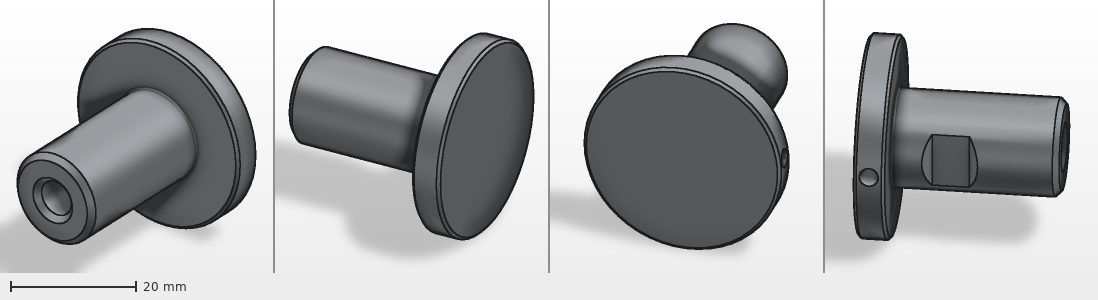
import cadquery as cq
import math

total_length = 32.0
flange_diameter = 33.0
flange_thickness = 5.0
flange_chamfer = 0.5
shank_diameter = 16.0
shank_chamfer = 1.0
root_fillet = 0.4

bore_diameter = 6.0
bore_floor_thickness = 3.07
countersink_diameter = 8.0
bore_point_angle = 136.0

rim_hole_diameter = 3.05
rim_hole_point_angle = 120.0
rim_hole_tilt = 6.0

flat_depth = 1.5
flat_length = 6.0
flat_center_from_back = 14.52

flange_radius = flange_diameter / 2
shank_radius = shank_diameter / 2
flange_front = total_length - flange_thickness


def drill(radius, depth, point_angle):
    """Drill-shaped solid running from the origin along +Y; depth excludes the point."""
    point_length = radius / math.tan(math.radians(point_angle / 2))
    return (
        cq.Workplane("XY")
        .lineTo(radius, 0)
        .lineTo(radius, depth)
        .lineTo(0, depth + point_length)
        .close()
        .revolve(360, (0, 0, 0), (0, 1, 0))
    )


def turned_body():
    root_arc_middle = root_fillet * (1 - math.sqrt(0.5))
    return (
        cq.Workplane("XY")
        .lineTo(shank_radius - shank_chamfer, 0)
        .lineTo(shank_radius, shank_chamfer)
        .lineTo(shank_radius, flange_front - root_fillet)
        .threePointArc(
            (shank_radius + root_arc_middle, flange_front - root_arc_middle),
            (shank_radius + root_fillet, flange_front),
        )
        .lineTo(flange_radius - flange_chamfer, flange_front)
        .lineTo(flange_radius, flange_front + flange_chamfer)
        .lineTo(flange_radius, total_length - flange_chamfer)
        .lineTo(flange_radius - flange_chamfer, total_length)
        .lineTo(0, total_length)
        .close()
        .revolve(360, (0, 0, 0), (0, 1, 0))
    )


def axial_bore():
    bore_radius = bore_diameter / 2
    countersink_radius = countersink_diameter / 2
    countersink_depth = countersink_radius - bore_radius
    countersink = (
        cq.Workplane("XY")
        .lineTo(countersink_radius, 0)
        .lineTo(bore_radius, countersink_depth)
        .lineTo(0, countersink_depth)
        .close()
        .revolve(360, (0, 0, 0), (0, 1, 0))
    )
    bore = drill(bore_radius, total_length - bore_floor_thickness, bore_point_angle)
    return bore.union(countersink)


def rim_hole():
    start_radius = flange_radius + flange_chamfer
    return (
        drill(rim_hole_diameter / 2, start_radius, rim_hole_point_angle)
        .rotate((0, 0, 0), (0, 0, 1), -90)
        .translate((-start_radius, 0, 0))
        .rotate((0, 0, 0), (0, 1, 0), rim_hole_tilt)
        .translate((0, total_length - flange_thickness / 2, 0))
    )


def clamping_flat():
    flat_center = total_length - flat_center_from_back
    half_bottom = flat_length / 2
    half_mouth = half_bottom + flat_depth
    return (
        cq.Workplane("XY")
        .moveTo(-shank_radius, flat_center - half_mouth)
        .lineTo(-shank_radius + flat_depth, flat_center - half_bottom)
        .lineTo(-shank_radius + flat_depth, flat_center + half_bottom)
        .lineTo(-shank_radius, flat_center + half_mouth)
        .close()
        .extrude(shank_radius, both=True)
    )


result = turned_body().cut(axial_bore()).cut(rim_hole()).cut(clamping_flat())